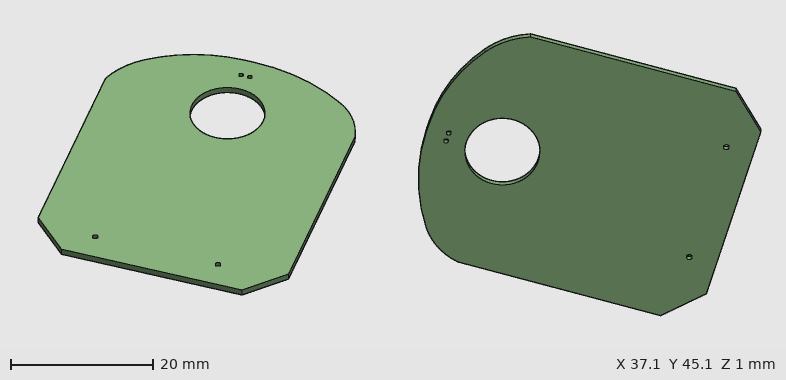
import cadquery as cq

width = 37.1
length = 45.1
thickness = 1.0
corner_cut = 5.2
half_width = width / 2

crown_left_x = -1.25
crown_right_x = 0.2
knee_x = 14.5
left_knee_y = 40.75
right_knee_y = 40.85
left_shoulder_y = 35.35
right_shoulder_y = 34.95

opening_diameter = 10.55
opening_y = 33.95

crown_hole_diameter = 0.65
crown_hole_spacing = 1.3
crown_hole_y = 42.02

base_hole_diameter = 0.75
base_hole_spacing = 18.15
base_hole_center_x = -0.6
base_hole_y = 3.95


def make_half(side, crown_x, knee_y, shoulder_y):
    """Half of the plate; side is -1 for the -X half and +1 for the +X half."""
    edge_x = side * half_width
    return (
        cq.Workplane("XY")
        .moveTo(0, 0)
        .lineTo(0, length)
        .lineTo(crown_x, length)
        .tangentArcPoint((side * knee_x, knee_y), relative=False)
        .tangentArcPoint((edge_x, shoulder_y), relative=False)
        .lineTo(edge_x, corner_cut)
        .lineTo(edge_x - side * corner_cut, 0)
        .close()
        .extrude(thickness)
    )


def make_holes(points, diameter):
    """Cutting cylinders through the full plate thickness."""
    return cq.Workplane("XY").pushPoints(points).circle(diameter / 2).extrude(thickness)


def pair_points(center_x, spacing, y):
    """Two points side by side along X."""
    return [(center_x - spacing / 2, y), (center_x + spacing / 2, y)]


left_half = make_half(-1, crown_left_x, left_knee_y, left_shoulder_y)
right_half = make_half(1, crown_right_x, right_knee_y, right_shoulder_y)
plate = left_half.union(right_half).clean()

opening = make_holes([(0, opening_y)], opening_diameter)
crown_holes = make_holes(pair_points(0, crown_hole_spacing, crown_hole_y), crown_hole_diameter)
base_holes = make_holes(
    pair_points(base_hole_center_x, base_hole_spacing, base_hole_y), base_hole_diameter
)

result = plate.cut(opening).cut(crown_holes).cut(base_holes)